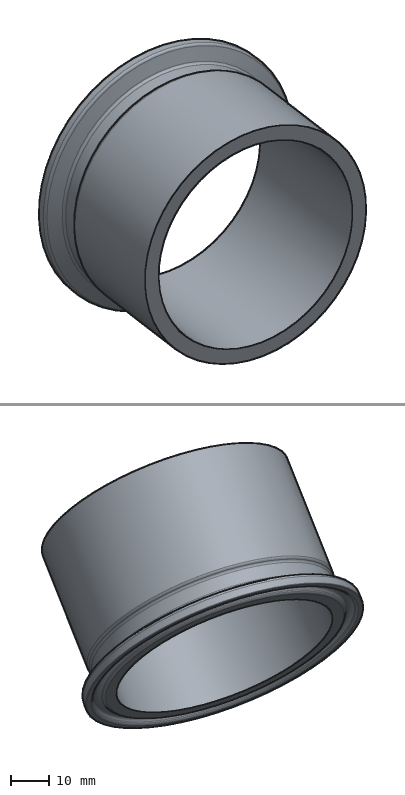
import cadquery as cq
import math


overall_length = 44.5
bore_radius = 30.1
tube_radius = 34.4

flange_radius = 38.75
rim_edge_x = 2.86
clamp_angle = 20.0
flange_rounding = 0.9
face_edge_rounding = 0.2

neck_radius = 33.75
shoulder_x = 9.60
shoulder_angle = 45.0
shoulder_rounding = 1.1

groove_radius = 35.25
groove_depth = 1.6
groove_wall_angle = 67.0
groove_bottom_rounding = 1.35
groove_lip_rounding = 0.75

flange_foot_x = rim_edge_x + (flange_radius - neck_radius) * math.tan(math.radians(clamp_angle))
shoulder_end_x = shoulder_x + (tube_radius - neck_radius) / math.tan(math.radians(shoulder_angle))
groove_slope = math.tan(math.radians(groove_wall_angle))
v_overshoot = groove_bottom_rounding * (1 / math.cos(math.radians(groove_wall_angle)) - 1)
groove_v_depth = groove_depth + v_overshoot
groove_half_width = groove_v_depth / groove_slope


def round_corner(before, corner, after, radius):
    """Return start, middle and end of the arc that rounds a corner."""
    corner = cq.Vector(*corner)
    to_before = (cq.Vector(*before) - corner).normalized()
    to_after = (cq.Vector(*after) - corner).normalized()
    half_angle = to_before.getAngle(to_after) / 2
    setback = radius / math.tan(half_angle)
    middle_setback = radius / math.sin(half_angle) - radius
    start = corner + to_before * setback
    middle = corner + (to_before + to_after).normalized() * middle_setback
    end = corner + to_after * setback
    return start.toTuple()[:2], middle.toTuple()[:2], end.toTuple()[:2]


def rounded_outline(corners):
    """Draw a closed outline from (x, radius from axis, corner rounding) entries."""
    points = [(x, r) for x, r, _ in corners]
    outline = cq.Workplane("XZ").moveTo(*points[0])
    for i in range(1, len(corners)):
        rounding = corners[i][2]
        if rounding == 0:
            outline = outline.lineTo(*points[i])
            continue
        following = points[(i + 1) % len(points)]
        start, middle, end = round_corner(points[i - 1], points[i], following, rounding)
        outline = outline.lineTo(*start).threePointArc(middle, end)
    return outline.close()


ferrule_section = rounded_outline([
    (overall_length, bore_radius, 0),
    (0, bore_radius, 0),
    (0, groove_radius - groove_half_width, groove_lip_rounding),
    (groove_v_depth, groove_radius, groove_bottom_rounding),
    (0, groove_radius + groove_half_width, groove_lip_rounding),
    (0, flange_radius, face_edge_rounding),
    (rim_edge_x, flange_radius, flange_rounding),
    (flange_foot_x, neck_radius, flange_rounding),
    (shoulder_x, neck_radius, shoulder_rounding),
    (shoulder_end_x, tube_radius, shoulder_rounding),
    (overall_length, tube_radius, 0),
])

result = ferrule_section.revolve(360, (0, 0, 0), (1, 0, 0))